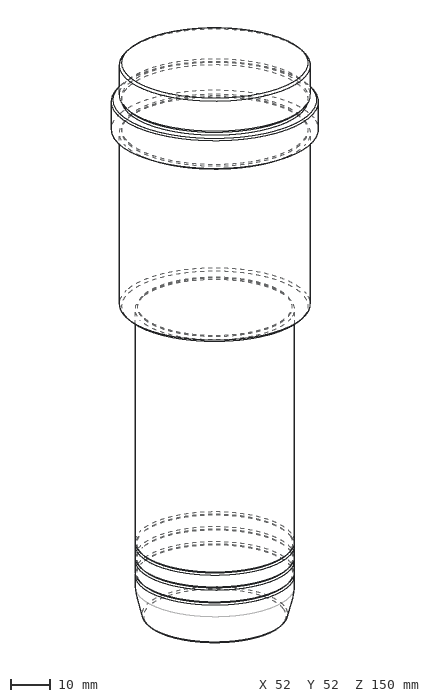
import cadquery as cq

length = 150.0
head_radius = 24.0
flange_diameter = 52.0
flange_radius = flange_diameter / 2
shaft_diameter = 40.0
shaft_radius = shaft_diameter / 2
edge_chamfer = 0.6

body_bottom = 84.0
flange_bottom = 132.0
flange_top = 140.0
flange_chamfer = 0.5
head_bottom = 140.7

relief_depth = 0.6
body_relief_height = 0.5
shaft_relief_height = 0.3

lead_in_height = 8.0
lead_in_mid_radius = 19.4
tip_radius = 18.3
tip_chamfer = 0.5

groove_count = 3
lowest_groove_height = 11.5
groove_pitch = 4.0
groove_width = 0.9
groove_depth = 0.5


def turned_body():
    """Revolve the half outline, listed from the tip up to the head."""
    head_relief_radius = head_radius - relief_depth
    shaft_relief_radius = shaft_radius - relief_depth
    shaft_top = body_bottom - shaft_relief_height
    body_top = flange_bottom - body_relief_height
    outline = (
        cq.Workplane("XZ")
        .moveTo(0, 0)
        .lineTo(tip_radius - tip_chamfer, 0)
        .lineTo(tip_radius, tip_chamfer)
        .threePointArc((lead_in_mid_radius, lead_in_height / 2), (shaft_radius, lead_in_height))
        .lineTo(shaft_radius, shaft_top - edge_chamfer)
        .lineTo(shaft_relief_radius, shaft_top)
        .lineTo(shaft_relief_radius, body_bottom)
        .lineTo(head_radius - edge_chamfer, body_bottom)
        .lineTo(head_radius, body_bottom + edge_chamfer)
        .lineTo(head_radius, body_top - edge_chamfer)
        .lineTo(head_relief_radius, body_top)
        .lineTo(head_relief_radius, flange_bottom)
        .lineTo(flange_radius, flange_bottom)
        .lineTo(flange_radius, flange_top - flange_chamfer)
        .lineTo(flange_radius - flange_chamfer, flange_top)
        .lineTo(head_relief_radius, flange_top)
        .lineTo(head_relief_radius, head_bottom)
        .lineTo(head_radius, head_bottom + edge_chamfer)
        .lineTo(head_radius, length - edge_chamfer)
        .lineTo(head_radius - edge_chamfer, length)
        .lineTo(0, length)
        .close()
    )
    return outline.revolve(360, (0, 0, 0), (0, 1, 0))


def groove_ring(center_height):
    """V-section ring of material removed by one shaft groove."""
    half_width = groove_width / 2
    section = (
        cq.Workplane("XZ")
        .moveTo(shaft_radius, center_height - half_width)
        .lineTo(shaft_radius - groove_depth, center_height)
        .lineTo(shaft_radius, center_height + half_width)
        .close()
    )
    return section.revolve(360, (0, 0, 0), (0, 1, 0))


result = turned_body()
for index in range(groove_count):
    result = result.cut(groove_ring(lowest_groove_height + index * groove_pitch))